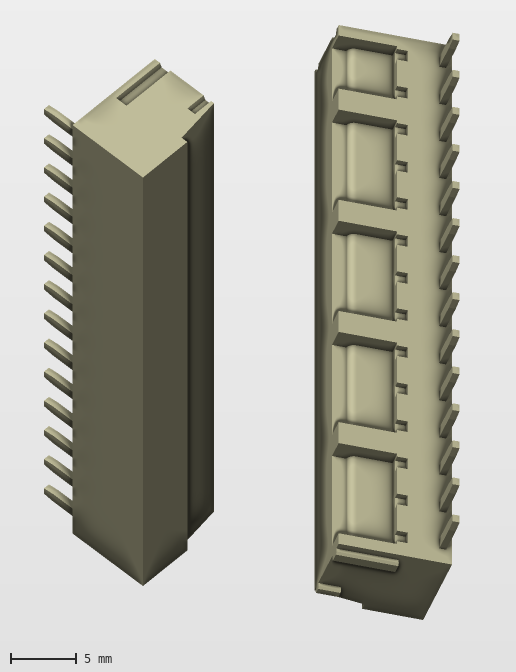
import cadquery as cq
body_width = 7.45
body_depth = 9.0
body_height = 49.0
shoulder_depth = 4.15
shoulder_top_width = 6.25
shoulder_base_width = 6.85

poles_per_window = [3, 3, 3, 3, 2]
pitch = body_height / sum(poles_per_window)
pin_length = 3.45
pin_thickness = 0.55
pin_height = 0.9
pin_tip_length = 1.0
pin_tip_height = 0.65
pin_from_front = 0.75
pin_y = body_depth / 2 - pin_from_front

window_end_wall = 1.0
window_length = 4.65
floor_depth = 1.25
lip_depth = 1.75
lip_length = 1.15
round_length = 0.65
round_drop = lip_depth - floor_depth
round_radius = (round_length**2 + round_drop**2) / (2 * round_drop)

notch_length = 0.85
notch_height = 1.0
notch_depth = 0.55

rail_height = 0.55
rail_bulge_height = 0.35
groove_depth = 0.4
wide_rail_x = 1.1
wide_rail_widths = (0.9, 1.1, 0.8)
wide_groove_mouth = 1.1
wide_groove_floor = 0.75
wide_rail_length = 4.95
wide_groove_length = 4.8
narrow_rail_x = 5.55
narrow_rail_widths = (0.6, 0.8, 0.55)
narrow_groove_mouth = 0.8
narrow_groove_floor = 0.45
narrow_rail_length = 1.8

back_y = body_depth / 2
front_y = -back_y


def make_body():
    shoulder_y = back_y - shoulder_depth
    outline = [
        (0, front_y),
        (body_width, front_y),
        (body_width, shoulder_y),
        (shoulder_base_width, shoulder_y),
        (shoulder_top_width, back_y),
        (0, back_y),
    ]
    return cq.Workplane("XY").polyline(outline).close().extrude(body_height)


def make_window(bottom_z, pole_count):
    """Cutter for one window: flat floor, convex round, then the deeper lip."""
    lip_y = back_y - lip_length
    round_start_y = lip_y - round_length
    half_chord = (round_length**2 + round_drop**2) ** 0.5 / 2
    sagitta = round_radius - (round_radius**2 - half_chord**2) ** 0.5
    mid_x = (floor_depth + lip_depth) / 2 - sagitta * round_length / (2 * half_chord)
    mid_y = round_start_y + round_length / 2 + sagitta * round_drop / (2 * half_chord)
    height = pole_count * pitch - 2 * window_end_wall
    return (
        cq.Workplane("XY", origin=(0, 0, bottom_z + window_end_wall))
        .moveTo(0, back_y)
        .lineTo(0, back_y - window_length)
        .lineTo(floor_depth, back_y - window_length)
        .lineTo(floor_depth, round_start_y)
        .threePointArc((mid_x, mid_y), (lip_depth, lip_y))
        .lineTo(lip_depth, back_y)
        .close()
        .extrude(height)
    )


def make_notch(center_z):
    """Cutter for the shallow notch that opens into the window."""
    notch_y = back_y - window_length - notch_length
    return cq.Workplane("XY").box(
        notch_depth, notch_length, notch_height, centered=(False, False, True)
    ).translate((0, notch_y, center_z))


def make_pin(center_z):
    """Flat pin along -X whose tip narrows in height."""
    half_height = pin_height / 2
    half_tip = pin_tip_height / 2
    taper_x = -pin_length + pin_tip_length
    outline = [
        (0, -half_height),
        (taper_x, -half_height),
        (-pin_length, -half_tip),
        (-pin_length, half_tip),
        (taper_x, half_height),
        (0, half_height),
    ]
    return (
        cq.Workplane("XZ")
        .polyline(outline)
        .close()
        .extrude(pin_thickness / 2, both=True)
        .translate((0, -pin_y, center_z))
    )


def make_rail(center_x, widths, length):
    """Dovetail bar below the base, running forward from the back face."""
    base_half, bulge_half, tip_half = (width / 2 for width in widths)
    outline = [
        (-base_half, 0),
        (-bulge_half, -rail_bulge_height),
        (-tip_half, -rail_height),
        (tip_half, -rail_height),
        (bulge_half, -rail_bulge_height),
        (base_half, 0),
    ]
    return (
        cq.Workplane("XZ", origin=(center_x, back_y, 0))
        .polyline(outline)
        .close()
        .extrude(length)
    )


def make_groove(center_x, mouth_width, floor_width, length):
    """Cutter for a tapered groove in the top, open at the back face."""
    outline = [
        (-mouth_width / 2, 0),
        (-floor_width / 2, -groove_depth),
        (floor_width / 2, -groove_depth),
        (mouth_width / 2, 0),
    ]
    return (
        cq.Workplane("XZ", origin=(center_x, back_y, body_height))
        .polyline(outline)
        .close()
        .extrude(length)
    )


result = make_body()

window_z = 0
for pole_count in poles_per_window:
    result = result.cut(make_window(window_z, pole_count))
    window_z += pole_count * pitch

for pole in range(sum(poles_per_window)):
    pole_z = (pole + 0.5) * pitch
    result = result.cut(make_notch(pole_z)).union(make_pin(pole_z))

result = result.union(make_rail(wide_rail_x, wide_rail_widths, wide_rail_length))
result = result.union(make_rail(narrow_rail_x, narrow_rail_widths, narrow_rail_length))
result = result.cut(
    make_groove(wide_rail_x, wide_groove_mouth, wide_groove_floor, wide_groove_length)
)
result = result.cut(
    make_groove(narrow_rail_x, narrow_groove_mouth, narrow_groove_floor, narrow_rail_length)
)